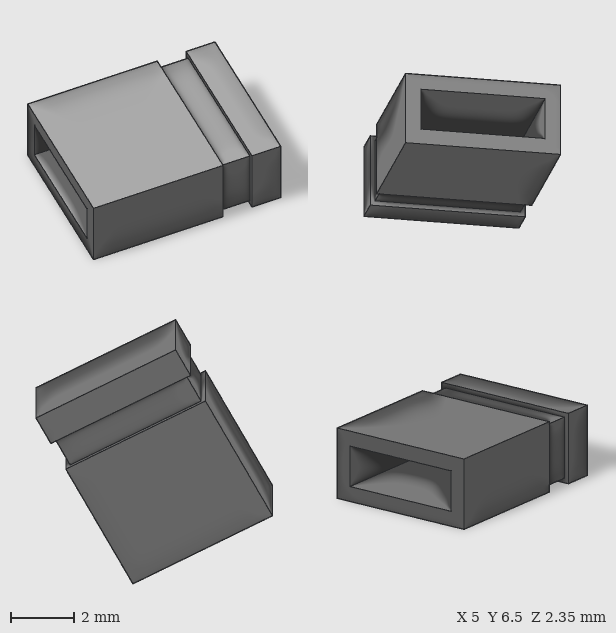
import cadquery as cq

width = 5.0
length = 6.5
height = 2.35

wall = 0.5
end_wall = 1.0
socket_depth = length - end_wall

grip_length = 1.0
groove_width = 1.0
groove_depth = 0.155


def block(size_x, size_y, size_z, start_y):
    """Box centred on X and Z, extending toward +Y from start_y."""
    return (
        cq.Workplane("XY")
        .box(size_x, size_y, size_z, centered=(True, False, True))
        .translate((0, start_y, 0))
    )


def groove_ring():
    """Material removed from all four sides to form the groove."""
    start_y = length - grip_length - groove_width
    outer = block(width, groove_width, height, start_y)
    core = block(width - 2 * groove_depth, groove_width, height - 2 * groove_depth, start_y)
    return outer.cut(core)


body = block(width, length, height, 0)
socket = block(width - 2 * wall, socket_depth, height - 2 * wall, 0)
result = body.cut(groove_ring()).cut(socket)